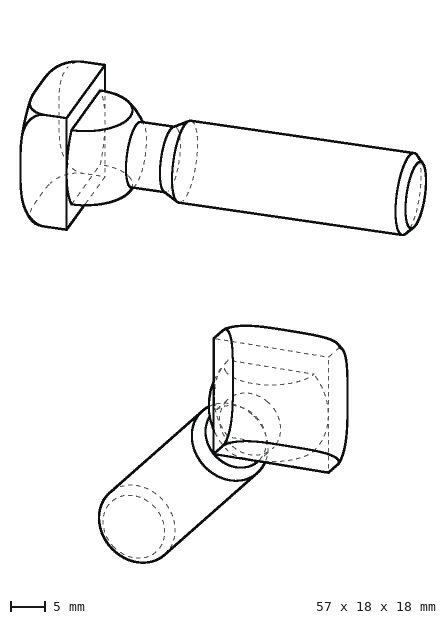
import cadquery as cq
import math

total_length = 57.0
head_width = 18.0
head_thickness = 7.0
shank_diameter = 11.95
neck_diameter = 9.6
neck_end = 19.8
shank_start = 22.0
end_chamfer = 1.15

half_width = head_width / 2
shank_radius = shank_diameter / 2
neck_radius = neck_diameter / 2
ball_radius = half_width


def make_head():
    """Square head whose front corners are rounded by a turned blank."""
    block = cq.Workplane("YZ").rect(head_width, head_width).extrude(head_thickness)
    corner_radius = half_width * math.sqrt(2)
    rounding = corner_radius - half_width
    blank = cq.Workplane("YZ").circle(corner_radius).extrude(head_thickness)
    blank = blank.faces("<X").edges().fillet(rounding)
    return block.intersect(blank)


def make_shoulder():
    """Half ball behind the head, flattened above and below to the shank diameter."""
    ball = cq.Workplane("XY").sphere(ball_radius)
    slab = cq.Workplane("XY").box(
        ball_radius, head_width, shank_diameter, centered=(False, True, True)
    )
    return ball.intersect(slab).translate((head_thickness, 0, 0))


def make_shank():
    """Neck, flare and end-chamfered shank turned about X."""
    return (
        cq.Workplane("XY")
        .moveTo(head_thickness, 0)
        .lineTo(head_thickness, neck_radius)
        .lineTo(neck_end, neck_radius)
        .lineTo(shank_start, shank_radius)
        .lineTo(total_length - end_chamfer, shank_radius)
        .lineTo(total_length, shank_radius - end_chamfer)
        .lineTo(total_length, 0)
        .close()
        .revolve(360, (0, 0, 0), (1, 0, 0))
    )


result = make_head().union(make_shoulder()).union(make_shank())